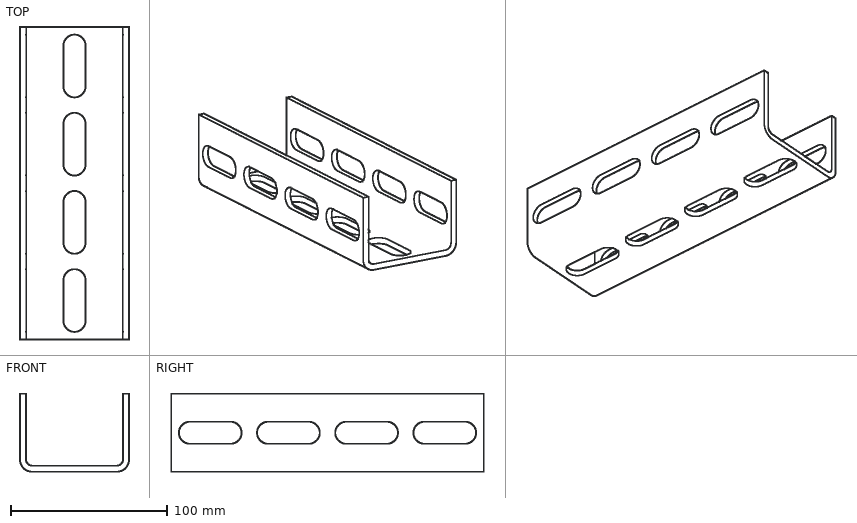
import cadquery as cq

length = 200.0
width = 70.0
height = 50.0
thickness = 4.0
inner_bend_radius = 4.0
outer_bend_radius = inner_bend_radius + thickness

slot_count = 4
slot_pitch = length / slot_count
slot_length = 40.0
slot_width = 14.0
side_slot_height = height / 2


def rounded_bar(bar_width, bottom, bend_radius):
    """Full-length bar up to the channel top, with its two bottom edges rounded."""
    return (
        cq.Workplane("XY")
        .box(bar_width, length, height - bottom, centered=(True, True, False))
        .edges("|Y and <Z")
        .fillet(bend_radius)
        .translate((0, 0, bottom))
    )


def slot_row(plane, depth):
    """Row of slot cutters along Y, extruded evenly to both sides of the plane."""
    return (
        plane.rarray(slot_pitch, 2, slot_count, 1)
        .slot2D(slot_length, slot_width)
        .extrude(depth / 2, both=True)
    )


outer_bar = rounded_bar(width, 0, outer_bend_radius)
inner_bar = rounded_bar(width - 2 * thickness, thickness, inner_bend_radius)
channel = outer_bar.cut(inner_bar)

side_plane = cq.Workplane("YZ").center(0, side_slot_height)
side_slots = slot_row(side_plane, 2 * width)

floor_plane = cq.Workplane(cq.Plane(origin=(0, 0, 0), xDir=(0, 1, 0), normal=(0, 0, 1)))
floor_slots = slot_row(floor_plane, 4 * thickness)

result = channel.cut(side_slots).cut(floor_slots)